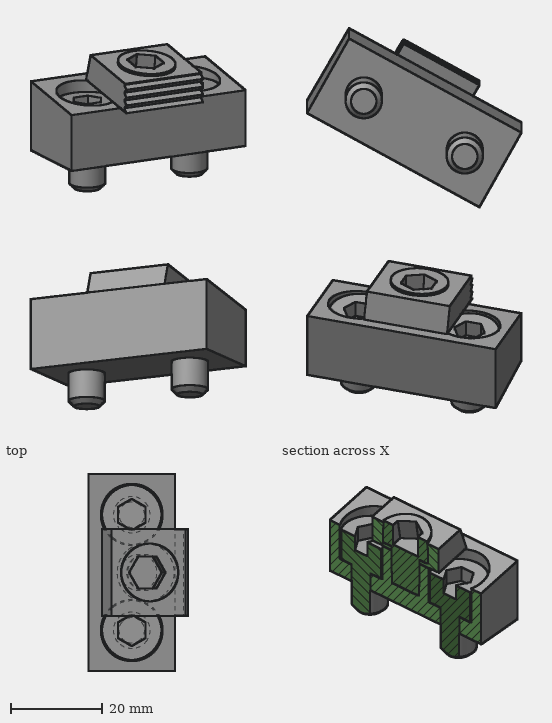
import cadquery as cq
import math

base_length = 43.2
base_width = 19.0
base_height = 15.7
slope_angle = 9.0
slope = math.tan(math.radians(slope_angle))

screw_offset = 12.65
screw_diameter = 8.0
screw_protrusion = 7.4
screw_chamfer = 1.2
mount_head_diameter = 13.0
mount_head_top = 12.65
mount_head_height = 8.0
mount_socket_flats = 6.0
mount_socket_depth = 3.7
counterbore_diameter = 13.5

jaw_width = 19.0
jaw_thickness = 6.35
jaw_heel_x = -6.48
jaw_back_rake = 18.8
jaw_tip_x = 12.35
tooth_pitch = 1.75
tooth_depth = 1.0
groove_count = 4

clamp_axis_x = 2.9
clamp_head_diameter = 12.65
clamp_head_protrusion = 0.5
clamp_head_height = 5.85
clamp_socket_flats = 7.0
clamp_socket_depth = 5.2
clamp_socket_offset = -0.55
clamp_shank_depth = 8.65


def slope_z(x):
    """Height of the sloping face at position x."""
    return base_height - (x + base_width / 2) * slope


def extrude_profile(points, width):
    """Extrude an XZ outline symmetrically along Y."""
    return cq.Workplane("XZ").polyline(points).close().extrude(width / 2, both=True)


def cylinder(plane, diameter, bottom, top):
    """Cylinder on the plane normal, between two heights above the plane."""
    return cq.Workplane(plane).workplane(offset=bottom).circle(diameter / 2).extrude(top - bottom)


def hex_socket(plane, flats, top, depth):
    """Hexagonal cutter sunk below a screw head, with corners along the plane X axis."""
    corner_diameter = flats / math.cos(math.pi / 6)
    return cq.Workplane(plane).workplane(offset=top).polygon(6, corner_diameter).extrude(-depth)


def mount_plane(side):
    """Upright plane on the base bottom at a mounting screw, its X axis along the base."""
    return cq.Plane(origin=(0, side * screw_offset, 0), xDir=(0, 1, 0), normal=(0, 0, 1))


slope_radians = math.radians(slope_angle)
clamp_plane = cq.Plane(
    origin=(clamp_axis_x, 0, slope_z(clamp_axis_x)),
    xDir=(math.cos(slope_radians), 0, -math.sin(slope_radians)),
    normal=(math.sin(slope_radians), 0, math.cos(slope_radians)),
)
clamp_head_top = jaw_thickness + clamp_head_protrusion
clamp_head_bottom = clamp_head_top - clamp_head_height
mount_head_bottom = mount_head_top - mount_head_height


def make_base():
    half_width = base_width / 2
    block = extrude_profile(
        [
            (-half_width, 0),
            (half_width, 0),
            (half_width, slope_z(half_width)),
            (-half_width, base_height),
        ],
        base_length,
    )
    for side in (-1, 1):
        plane = mount_plane(side)
        block = block.cut(cylinder(plane, screw_diameter, 0, mount_head_bottom))
        block = block.cut(cylinder(plane, counterbore_diameter, mount_head_bottom, base_height))
    return block.cut(cylinder(clamp_plane, screw_diameter, -clamp_shank_depth, 0))


def make_mount_screw(side):
    plane = mount_plane(side)
    shank = cylinder(plane, screw_diameter, -screw_protrusion, mount_head_bottom)
    shank = shank.faces("<Z").chamfer(screw_chamfer)
    head = cylinder(plane, mount_head_diameter, mount_head_bottom, mount_head_top)
    socket = hex_socket(plane, mount_socket_flats, mount_head_top, mount_socket_depth)
    return shank.union(head).cut(socket)


def make_jaw():
    top_rise = jaw_thickness / math.cos(slope_radians)
    back_slope = math.tan(math.radians(jaw_back_rake))
    back_run = top_rise * back_slope / (1 + slope * back_slope)
    top_back_x = jaw_heel_x + back_run
    jaw = extrude_profile(
        [
            (jaw_heel_x, slope_z(jaw_heel_x)),
            (jaw_tip_x, slope_z(jaw_tip_x)),
            (jaw_tip_x, slope_z(jaw_tip_x) + top_rise),
            (top_back_x, slope_z(top_back_x) + top_rise),
        ],
        jaw_width,
    )
    for index in range(groove_count):
        groove_bottom = slope_z(jaw_tip_x) + index * tooth_pitch
        groove = extrude_profile(
            [
                (jaw_tip_x, groove_bottom),
                (jaw_tip_x, groove_bottom + tooth_pitch),
                (jaw_tip_x - tooth_depth, groove_bottom + tooth_pitch / 2),
            ],
            jaw_width,
        )
        jaw = jaw.cut(groove)
    jaw = jaw.cut(cylinder(clamp_plane, screw_diameter, 0, clamp_head_bottom))
    return jaw.cut(cylinder(clamp_plane, clamp_head_diameter, clamp_head_bottom, clamp_head_top))


def make_clamp_screw():
    shank = cylinder(clamp_plane, screw_diameter, -clamp_shank_depth, clamp_head_bottom)
    head = cylinder(clamp_plane, clamp_head_diameter, clamp_head_bottom, clamp_head_top)
    socket = hex_socket(clamp_plane, clamp_socket_flats, clamp_head_top, clamp_socket_depth)
    socket = socket.translate(clamp_plane.xDir * clamp_socket_offset)
    return shank.union(head).cut(socket)


base = make_base()
mount_screws = [make_mount_screw(side) for side in (-1, 1)]
jaw = make_jaw()
clamp_screw = make_clamp_screw()

result = cq.Compound.makeCompound(
    [base.val(), *[screw.val() for screw in mount_screws], jaw.val(), clamp_screw.val()]
)